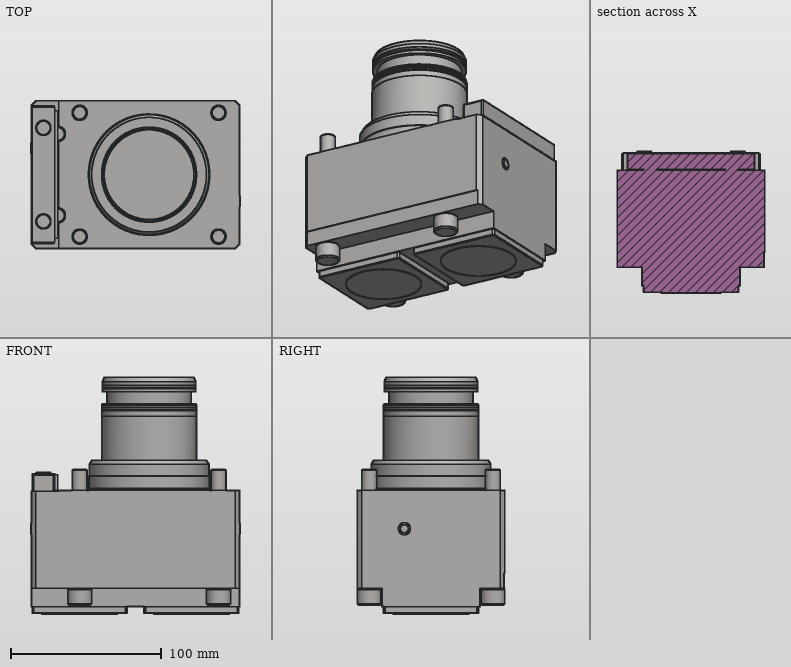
import cadquery as cq


body_length = 138.0
body_width = 98.0
body_bottom = 17.0
body_top = 82.0
body_corner_chamfer = 3.0
body_center_x = -9.0
body_left = body_center_x - body_length / 2
body_right = body_center_x + body_length / 2

relief_height = 10.0
relief_depth = 0.6

rib_width = 65.0
rib_bottom = 5.0

pad_size = 63.0
pad_spacing = 74.0
pad_edge_chamfer = 1.2
pad_bottom_chamfer = 0.5
disc_diameter = 50.0
disc_thickness = 0.5

foot_diameter = 80.5
foot_neck_diameter = 79.5
foot_neck_bottom = 82.9
foot_neck_top = 83.4
lower_ring_diameter = 80.0
lower_ring_top = 91.2
ring_step_height = 0.5
upper_ring_diameter = 79.5
upper_ring_top = 99.2
flange_top_diameter = 76.0
flange_top = 102.0

tube_lower_diameter = 63.08
tube_lower_top = 131.0
tube_diameter = 63.0
tube_groove_diameter = 62.5
tube_groove_width = 0.5
tube_groove_bottoms = (134.9, 136.7)
tube_chamfer_bottom = 138.3
tube_top_diameter = 62.0
tube_top = 139.4

neck_diameter = 56.0
cap_bottom = 147.3
cap_diameter = 62.0
notch_diameter = 61.4
lower_notch_z = 149.4
bead_bottom = 150.2
bead_top = 150.8
upper_notch_z = 151.8
cap_chamfer_bottom = 154.1
cap_top_diameter = 59.4
cap_top = 157.0

screw_spacing_x = 92.0
screw_spacing_y = 82.0
screw_diameter = 10.0
screw_tip = 96.0
screw_tip_chamfer = 0.75
head_diameter = 16.0
head_bottom = 6.0
head_bottom_chamfer = 1.0
head_top_chamfer = 0.8

ledge_length = 18.0
ledge_depth = 0.5
ledge_z = body_top - ledge_depth
ledge_right = body_left + ledge_length
strip_inset = 0.5
strip_length = 15.0
strip_width = 91.5
strip_top = 93.0
strip_end_chamfer = 1.0
strip_left = body_left + strip_inset
strip_right = strip_left + strip_length

cap_screw_x = body_left + 8.0
cap_screw_spacing = 62.0
cap_screw_diameter = 10.0
cap_screw_height = 1.0
cap_screw_chamfer = 0.5

plate_width = 84.4
plate_top = 92.5
plate_right = ledge_right - 0.4
stud_spacing = 54.0
stud_diameter = 10.0
stud_height = 1.0
stud_chamfer = 0.7

button_base_diameter = 8.0
button_tip_diameter = 5.4
button_height = 0.54
button_offset_y = 17.6
button_z = 56.6


def box_between(x_min, x_max, width, z_min, z_max):
    """Box centred on Y = 0 between the given X and Z limits."""
    return (
        cq.Workplane("XY")
        .box(x_max - x_min, width, z_max - z_min, centered=(False, True, False))
        .translate((x_min, 0, z_min))
    )


def rod(diameter, x, y, z_min, z_max):
    """Upright cylinder at (x, y)."""
    return (
        cq.Workplane("XY", origin=(x, y, z_min))
        .circle(diameter / 2)
        .extrude(z_max - z_min)
    )


def make_housing():
    housing = box_between(body_left, body_right, body_width, body_bottom, body_top)
    housing = housing.edges("|Z").chamfer(body_corner_chamfer)
    relief = box_between(body_left, body_right, relief_depth, body_bottom, body_bottom + relief_height)
    housing = housing.cut(relief.translate((0, (body_width - relief_depth) / 2, 0)))
    ledge = box_between(body_left, ledge_right, body_width, ledge_z, body_top)
    rib = box_between(body_left, body_right, rib_width, rib_bottom, body_bottom)
    return housing.cut(ledge).union(rib)


def make_pad(x):
    pad = box_between(x - pad_size / 2, x + pad_size / 2, pad_size, disc_thickness, rib_bottom)
    pad = pad.edges("|Z").chamfer(pad_edge_chamfer)
    pad = pad.faces("<Z").edges().chamfer(pad_bottom_chamfer)
    return pad.union(rod(disc_diameter, x, 0, 0, disc_thickness))


def make_barrel():
    outline = [
        (foot_diameter, body_top),
        (foot_neck_diameter, foot_neck_bottom),
        (foot_neck_diameter, foot_neck_top),
        (lower_ring_diameter, foot_neck_top),
        (lower_ring_diameter, lower_ring_top),
        (upper_ring_diameter, lower_ring_top + ring_step_height),
        (upper_ring_diameter, upper_ring_top),
        (flange_top_diameter, flange_top),
        (tube_lower_diameter, flange_top),
        (tube_lower_diameter, tube_lower_top),
        (tube_diameter, tube_lower_top),
    ]
    for groove_bottom in tube_groove_bottoms:
        groove_top = groove_bottom + tube_groove_width
        outline += [
            (tube_diameter, groove_bottom),
            (tube_groove_diameter, groove_bottom),
            (tube_groove_diameter, groove_top),
            (tube_diameter, groove_top),
        ]
    outline += [
        (tube_diameter, tube_chamfer_bottom),
        (tube_top_diameter, tube_top),
        (neck_diameter, tube_top),
        (neck_diameter, cap_bottom),
        (cap_diameter, cap_bottom),
        (cap_diameter, lower_notch_z),
        (notch_diameter, lower_notch_z),
        (cap_diameter, bead_bottom),
        (cap_diameter, bead_top),
        (notch_diameter, upper_notch_z),
        (cap_diameter, upper_notch_z),
        (cap_diameter, cap_chamfer_bottom),
        (cap_top_diameter, cap_top),
    ]
    profile = cq.Workplane("XZ").moveTo(0, body_top)
    for diameter, z in outline:
        profile = profile.lineTo(diameter / 2, z)
    return profile.lineTo(0, cap_top).close().revolve(360, (0, 0, 0), (0, 1, 0))


def make_screw(x, y):
    head = rod(head_diameter, x, y, head_bottom, body_bottom)
    head = head.faces("<Z").edges().chamfer(head_bottom_chamfer)
    head = head.faces(">Z").edges().chamfer(head_top_chamfer)
    shank = rod(screw_diameter, x, y, body_bottom, screw_tip)
    return head.union(shank.faces(">Z").edges().chamfer(screw_tip_chamfer))


def make_strip():
    strip = box_between(strip_left, strip_right, strip_width, ledge_z, strip_top)
    strip = strip.faces("<Y or >Y").edges("|Z or >Z").chamfer(strip_end_chamfer)
    for side in (-1, 1):
        screw_y = side * cap_screw_spacing / 2
        screw = rod(cap_screw_diameter, cap_screw_x, screw_y, strip_top, strip_top + cap_screw_height)
        strip = strip.union(screw.faces(">Z").edges().chamfer(cap_screw_chamfer))
    return strip


def add_studs(part):
    """Studs flush with the housing top, set off by a chamfered rim where they meet it."""
    for side in (-1, 1):
        stud = rod(stud_diameter, plate_right, side * stud_spacing / 2, body_top - stud_height, body_top)
        part = part.cut(stud).union(stud.faces(">Z").edges().chamfer(stud_chamfer))
    return part


def make_button(side):
    """Button on the +X (side = 1) or -X (side = -1) end face."""
    face_x = body_right if side > 0 else body_left
    plane = cq.Plane(origin=(face_x, -side * button_offset_y, button_z), xDir=(0, 1, 0), normal=(side, 0, 0))
    return (
        cq.Workplane(plane)
        .circle(button_base_diameter / 2)
        .workplane(offset=button_height)
        .circle(button_tip_diameter / 2)
        .loft()
    )


result = add_studs(make_housing())
result = result.union(make_barrel())
result = result.union(make_strip())
result = result.union(box_between(strip_right, plate_right, plate_width, body_top, plate_top))
for side_x in (-1, 1):
    result = result.union(make_pad(body_center_x + side_x * pad_spacing / 2))
    result = result.union(make_button(side_x))
    for side_y in (-1, 1):
        screw_x = side_x * screw_spacing_x / 2
        result = result.union(make_screw(screw_x, side_y * screw_spacing_y / 2))